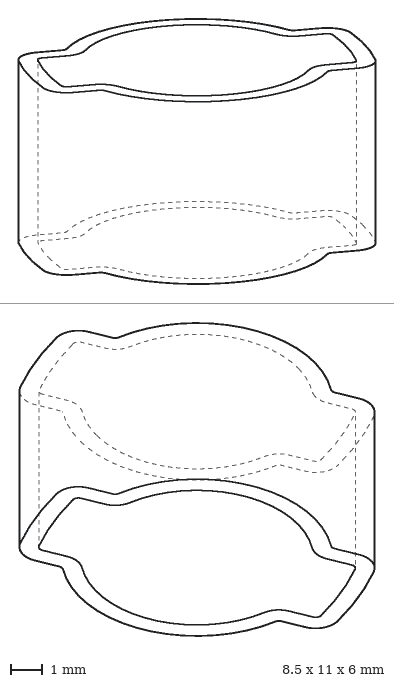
import cadquery as cq

length_y = 10.99
band_diameter = 8.5
band_width = 6.0
wall = 0.6
ear_width = 4.28
cap_radius = 10.99
corner_radius = 0.8
neck_radius = 0.2

band_radius = band_diameter / 2
ear_half_width = ear_width / 2
ear_tip = length_y / 2
ear_corner_y = ear_tip - cap_radius + (cap_radius**2 - ear_half_width**2) ** 0.5


def ear_block():
    """Solid block spanning both ears, with bowed ends and rounded corners."""
    return (
        cq.Workplane("XY")
        .moveTo(ear_half_width, -ear_corner_y)
        .lineTo(ear_half_width, ear_corner_y)
        .threePointArc((0, ear_tip), (-ear_half_width, ear_corner_y))
        .lineTo(-ear_half_width, -ear_corner_y)
        .threePointArc((0, -ear_tip), (ear_half_width, -ear_corner_y))
        .close()
        .extrude(band_width / 2, both=True)
        .edges("|Z")
        .fillet(corner_radius)
    )


def outer_body():
    """Solid bounded by the outside of the clamp, with rounded necks."""
    band = cq.Workplane("XY").circle(band_radius).extrude(band_width / 2, both=True)
    body = band.union(ear_block())
    select_margin = 0.01
    reach_x = ear_half_width + select_margin
    near_ears = cq.selectors.BoxSelector(
        (-reach_x, -band_radius, -band_width),
        (reach_x, band_radius, band_width),
    )
    upright_edges = cq.selectors.ParallelDirSelector(cq.Vector(0, 0, 1))
    return body.edges(upright_edges & near_ears).fillet(neck_radius)


def hollow(body):
    """Cut the opening through the body, leaving an even wall."""
    return body.faces(">Z").wires().toPending().offset2D(-wall).cutThruAll()


result = hollow(outer_body())